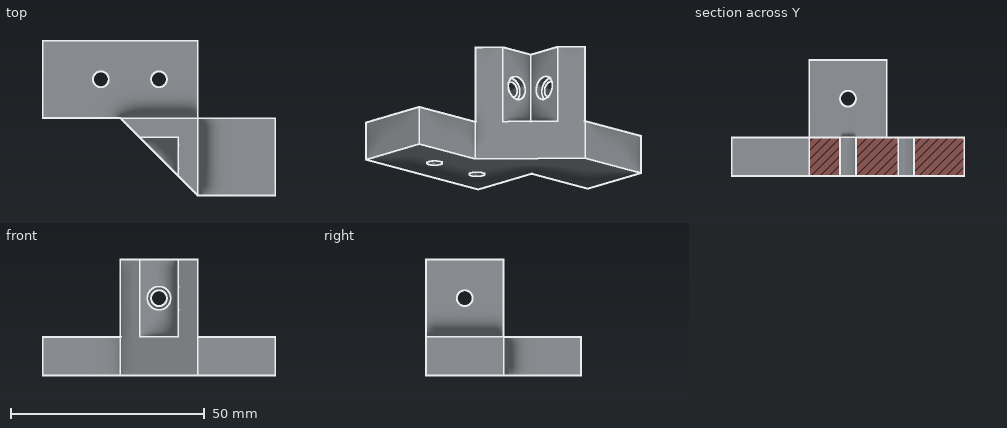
import cadquery as cq

plate_width = 20.0
plate_thickness = 10.0
long_plate_length = 40.0
short_plate_length = 20.0

block_leg = 20.0
block_height = 30.0
corner_x = long_plate_length
corner_y = plate_width
wall = 5.0

hole_diameter = 4.02
counterbore_diameter = 6.02
counterbore_depth = 2.0
plate_hole_xs = (15.0, 30.0)
plate_hole_y = corner_y + plate_width / 2
wall_hole_offset = block_leg / 2
wall_hole_z = (plate_thickness + block_height) / 2


def plate(x, y, length):
    """Flat plate whose lower left corner stands at (x, y)."""
    return cq.Workplane("XY").box(length, plate_width, plate_thickness, centered=False).translate((x, y, 0))


def corner_prism(inset, leg, bottom, top):
    """Right-angled triangular prism, its square corner inset from the block corner."""
    x = corner_x - inset
    y = corner_y - inset
    return (
        cq.Workplane("XY", origin=(0, 0, bottom))
        .polyline([(x, y), (x - leg, y), (x, y - leg)])
        .close()
        .extrude(top - bottom)
    )


def cylinder(diameter, depth, start, direction):
    """Cylinder that runs from a start point along a direction."""
    return cq.Workplane(obj=cq.Solid.makeCylinder(diameter / 2, depth, cq.Vector(*start), cq.Vector(*direction)))


def wall_hole(start, direction):
    """Counterbored hole that enters a wall from its pocket face."""
    bore = cylinder(hole_diameter, wall, start, direction)
    return bore.union(cylinder(counterbore_diameter, counterbore_depth, start, direction))


long_plate = plate(0, corner_y, long_plate_length)
short_plate = plate(corner_x, corner_y - plate_width, short_plate_length)
block = corner_prism(0, block_leg, 0, block_height)
result = block.union(long_plate).union(short_plate)

result = result.cut(corner_prism(wall, block_leg - 2 * wall, plate_thickness, block_height))

result = result.cut(wall_hole((corner_x - wall_hole_offset, corner_y - wall, wall_hole_z), (0, 1, 0)))
result = result.cut(wall_hole((corner_x - wall, corner_y - wall_hole_offset, wall_hole_z), (1, 0, 0)))

for hole_x in plate_hole_xs:
    result = result.cut(cylinder(hole_diameter, plate_thickness, (hole_x, plate_hole_y, 0), (0, 0, 1)))